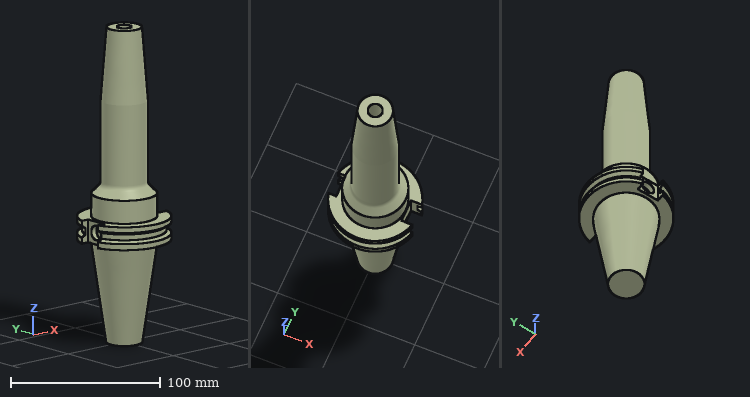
import cadquery as cq
import math


gauge_radius = 44.45 / 2
taper_length = 68.25
taper_rate = 7 / 24
taper_end_radius = gauge_radius - taper_rate * taper_length / 2

flange_radius = 63.5 / 2
flange_bottom = 3.18
flange_top = 19.05

groove_center = 11.25
groove_floor_radius = 57.0 / 2
groove_floor_width = 4.0
groove_flank_angle = 30
groove_depth = flange_radius - groove_floor_radius
groove_flank_rise = groove_depth * math.tan(math.radians(groove_flank_angle))

slot_width = 16.38
slot_floor_minus_x = 25.0
slot_floor_plus_x = 22.6

pocket_diameter = 10.0
pocket_depth = 4.6
pocket_height = groove_center

collar_top = 35.0
shoulder_angle = 45
neck_radius = 16.0
neck_fillet_radius = 5.0
nose_radius = 12.0
nose_angle = 4.5
nose_top = 150.0
nose_bottom = nose_top - (neck_radius - nose_radius) / math.tan(math.radians(nose_angle))

bore_diameter = 10.0
bore_depth = 40.0


def neck_fillet_points():
    """Start, middle and end (radius, height) of the arc joining the conical shoulder to the neck."""
    shoulder_rise = (gauge_radius - neck_radius) * math.tan(math.radians(shoulder_angle))
    corner_height = collar_top + shoulder_rise
    sweep = 90 - shoulder_angle
    center_radius = neck_radius + neck_fillet_radius
    center_height = corner_height + neck_fillet_radius * math.tan(math.radians(sweep / 2))
    points = []
    for angle in (sweep, sweep / 2, 0):
        turn = math.radians(angle)
        radius = center_radius - neck_fillet_radius * math.cos(turn)
        height = center_height - neck_fillet_radius * math.sin(turn)
        points.append((radius, height))
    return points


def turned_body():
    """Shank, flange, collar, neck and nose as one revolved profile."""
    floor_bottom = groove_center - groove_floor_width / 2
    floor_top = groove_center + groove_floor_width / 2
    fillet_start, fillet_middle, fillet_end = neck_fillet_points()
    profile = (
        cq.Workplane("XZ")
        .moveTo(0, -taper_length)
        .lineTo(taper_end_radius, -taper_length)
        .lineTo(gauge_radius, 0)
        .lineTo(gauge_radius, flange_bottom)
        .lineTo(flange_radius, flange_bottom)
        .lineTo(flange_radius, floor_bottom - groove_flank_rise)
        .lineTo(groove_floor_radius, floor_bottom)
        .lineTo(groove_floor_radius, floor_top)
        .lineTo(flange_radius, floor_top + groove_flank_rise)
        .lineTo(flange_radius, flange_top)
        .lineTo(gauge_radius, flange_top)
        .lineTo(gauge_radius, collar_top)
        .lineTo(*fillet_start)
        .threePointArc(fillet_middle, fillet_end)
        .lineTo(neck_radius, nose_bottom)
        .lineTo(nose_radius, nose_top)
        .lineTo(0, nose_top)
        .close()
    )
    return profile.revolve(360, (0, 0, 0), (0, 1, 0))


def drive_slot(side, floor_distance):
    """Block that cuts one drive slot; side is -1 or +1 along X."""
    length = flange_radius
    height = flange_top - flange_bottom
    center_x = side * (floor_distance + length / 2)
    center_z = (flange_bottom + flange_top) / 2
    return cq.Workplane("XY").box(length, slot_width, height).translate((center_x, 0, center_z))


def slot_pocket():
    """Cylinder that sinks the round pocket into the -X slot floor."""
    return (
        cq.Workplane("YZ", origin=(-slot_floor_minus_x, 0, pocket_height))
        .circle(pocket_diameter / 2)
        .extrude(pocket_depth)
    )


def tool_bore():
    """Cylinder that sinks the tool bore down from the nose face."""
    return (
        cq.Workplane("XY", origin=(0, 0, nose_top))
        .circle(bore_diameter / 2)
        .extrude(-bore_depth)
    )


result = (
    turned_body()
    .cut(drive_slot(-1, slot_floor_minus_x))
    .cut(drive_slot(1, slot_floor_plus_x))
    .cut(slot_pocket())
    .cut(tool_bore())
)